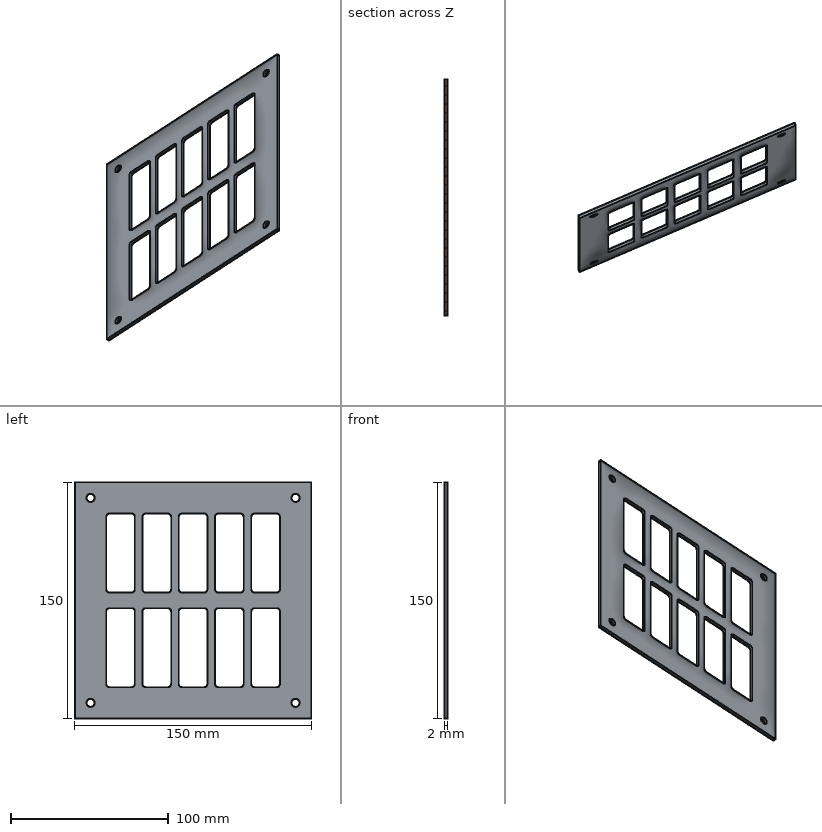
import cadquery as cq

PLATE_SIDE = 150.0
PLATE_THICKNESS = 2.0

HOLE_DIAMETER = 5.0
HOLE_EDGE_DISTANCE = 10.0

WINDOW_COLUMNS = 5
WINDOW_ROWS = 2
WINDOW_WIDTH = 18.0
WINDOW_HEIGHT = 50.0
WINDOW_CORNER_RADIUS = 2.0
COLUMN_BAR_WIDTH = 5.0
ROW_BAR_WIDTH = 10.0

COLUMN_PITCH = WINDOW_WIDTH + COLUMN_BAR_WIDTH
ROW_PITCH = WINDOW_HEIGHT + ROW_BAR_WIDTH
HOLE_SPACING = PLATE_SIDE - 2 * HOLE_EDGE_DISTANCE


def make_plate():
    """Plain square plate, centred on the origin."""
    return cq.Workplane("XY").box(PLATE_THICKNESS, PLATE_SIDE, PLATE_SIDE)


def make_windows():
    """Window-shaped cutters that pass through the plate."""
    return (
        cq.Workplane("YZ")
        .rarray(COLUMN_PITCH, ROW_PITCH, WINDOW_COLUMNS, WINDOW_ROWS)
        .rect(WINDOW_WIDTH, WINDOW_HEIGHT)
        .extrude(PLATE_THICKNESS, both=True)
        .edges("|X")
        .fillet(WINDOW_CORNER_RADIUS)
    )


def make_mounting_holes():
    """Round cutters for the four corner holes."""
    return (
        cq.Workplane("YZ")
        .rarray(HOLE_SPACING, HOLE_SPACING, 2, 2)
        .circle(HOLE_DIAMETER / 2)
        .extrude(PLATE_THICKNESS, both=True)
    )


result = make_plate().cut(make_windows()).cut(make_mounting_holes())